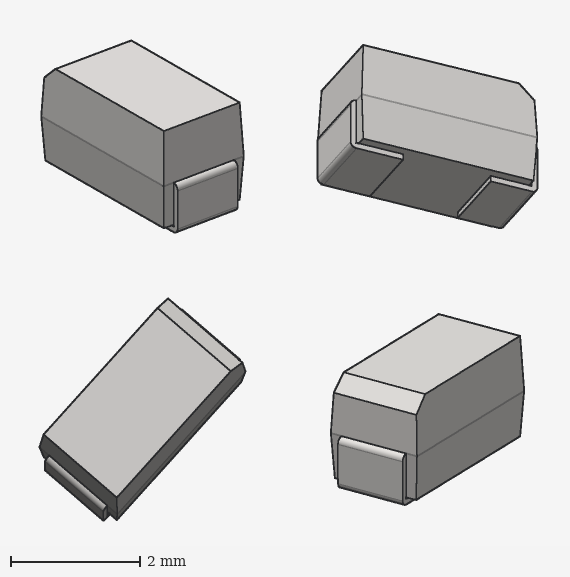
import cadquery as cq

overall_length = 3.2
overall_height = 1.8

strip_thickness = 0.1
terminal_width = 1.2
terminal_height = 0.865
left_foot_length = 0.8
right_foot_length = 0.9

housing_length = overall_length - 2 * strip_thickness
housing_width = 1.6
housing_bottom = strip_thickness
band_bottom = terminal_height
band_height = 0.013
band_top = band_bottom + band_height
taper_inset = 0.045

bevel_length = 0.25
bevel_drop = 0.24
bevel_run_out = 0.065


def tapered_half(seam_z, end_z):
    """Frustum from the full outline at seam_z to the inset outline at end_z."""
    return (
        cq.Workplane("XY")
        .workplane(offset=seam_z)
        .rect(housing_length, housing_width)
        .workplane(offset=end_z - seam_z)
        .rect(housing_length - 2 * taper_inset, housing_width - 2 * taper_inset)
        .loft(ruled=True)
    )


def bevel_cutter():
    """Triangular prism that removes the top edge at the -X end."""
    top_corner_x = -housing_length / 2 + taper_inset
    slope = bevel_drop / bevel_length
    return (
        cq.Workplane("XZ")
        .moveTo(top_corner_x + bevel_length + bevel_run_out, overall_height + bevel_run_out * slope)
        .lineTo(top_corner_x - bevel_run_out, overall_height - bevel_drop - bevel_run_out * slope)
        .lineTo(top_corner_x - bevel_run_out, overall_height + bevel_run_out * slope)
        .close()
        .extrude(housing_width / 2, both=True)
    )


def make_housing():
    band = (
        cq.Workplane("XY")
        .workplane(offset=band_bottom)
        .rect(housing_length, housing_width)
        .extrude(band_height)
    )
    lower_half = tapered_half(band_bottom, housing_bottom)
    upper_half = tapered_half(band_top, overall_height)
    return band.union(lower_half).union(upper_half).cut(bevel_cutter())


def make_terminal(side, foot_length):
    """Terminal at the -X end (side = -1) or the +X end (side = 1).

    foot_length runs along X from the outer face to the tip of the foot.
    """
    outer_x = side * overall_length / 2
    inner_x = side * housing_length / 2
    foot_x = side * (overall_length / 2 - foot_length)
    corner_radius = strip_thickness
    arc_middle = corner_radius / 2**0.5
    return (
        cq.Workplane("XZ")
        .moveTo(foot_x, 0)
        .lineTo(inner_x, 0)
        .threePointArc(
            (inner_x + side * arc_middle, corner_radius - arc_middle),
            (outer_x, corner_radius),
        )
        .lineTo(outer_x, terminal_height - corner_radius)
        .threePointArc(
            (inner_x + side * arc_middle, terminal_height - corner_radius + arc_middle),
            (inner_x, terminal_height),
        )
        .lineTo(inner_x, strip_thickness)
        .lineTo(foot_x, strip_thickness)
        .close()
        .extrude(terminal_width / 2, both=True)
    )


housing = make_housing()
terminals = [
    make_terminal(side, foot_length)
    for side, foot_length in ((-1, left_foot_length), (1, right_foot_length))
]

result = cq.Compound.makeCompound([housing.val(), *[terminal.val() for terminal in terminals]])